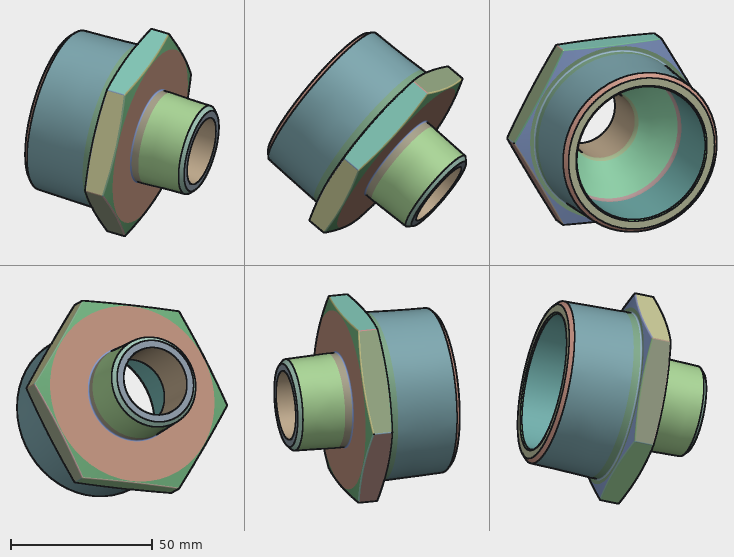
import cadquery as cq
import math


total_length = 56.0
collar_start = 26.5
collar_width = 9.5
collar_end = collar_start + collar_width

across_flats = 65.0
across_corners = across_flats / math.cos(math.radians(30))
collar_face_diameter = 63.8
collar_bevel_angle = math.radians(12)

large_diameter = 60.1
small_diameter = 33.6
straight_length = 3.1
radius_taper = 1 / 32
end_chamfer = 1.5

large_bore_diameter = 49.0
small_bore_diameter = 24.5
large_bore_depth = 24.2
cone_end = collar_end

edge_radius = 0.5
bore_blend_radius = 2.5


def threaded_end(diameter, length):
    """Spigot growing from x = 0 along +X: filleted root, straight length, taper, chamfered tip."""
    root_radius = diameter / 2
    taper_length = length - straight_length - end_chamfer
    tip_radius = root_radius - taper_length * radius_taper
    return (
        cq.Workplane("XY")
        .lineTo(0, root_radius + edge_radius)
        .radiusArc((edge_radius, root_radius), -edge_radius)
        .lineTo(straight_length, root_radius)
        .lineTo(length - end_chamfer, tip_radius)
        .lineTo(length, tip_radius - end_chamfer)
        .lineTo(length, 0)
        .close()
        .revolve(360, (0, 0, 0), (1, 0, 0))
    )


def hex_collar():
    """Hexagon with corners on the Y axis, bevelled on both faces and rounded on every edge."""
    hexagon = (
        cq.Workplane("YZ")
        .polygon(6, across_corners)
        .extrude(collar_width)
        .edges("|X")
        .fillet(edge_radius)
    )
    face_radius = collar_face_diameter / 2
    outer_radius = across_corners / 2
    bevel = (outer_radius - face_radius) * math.tan(collar_bevel_angle)
    envelope = (
        cq.Workplane("XY")
        .polyline([
            (0, 0),
            (0, face_radius),
            (bevel, outer_radius),
            (collar_width - bevel, outer_radius),
            (collar_width, face_radius),
            (collar_width, 0),
        ])
        .close()
        .revolve(360, (0, 0, 0), (1, 0, 0))
    )
    collar = hexagon.intersect(envelope)
    rounded = collar.faces("#X").edges("not |X").fillet(edge_radius)
    return rounded.translate((collar_start, 0, 0))


def stepped_bore():
    """Through bore with a chamfered mouth and a cone blended at both ends."""
    large_radius = large_bore_diameter / 2
    small_radius = small_bore_diameter / 2
    bore = (
        cq.Workplane("XY")
        .polyline([
            (0, 0),
            (0, large_radius + edge_radius),
            (edge_radius, large_radius),
            (large_bore_depth, large_radius),
            (cone_end, small_radius),
            (total_length, small_radius),
            (total_length, 0),
        ])
        .close()
        .revolve(360, (0, 0, 0), (1, 0, 0))
    )
    around_cone = cq.selectors.BoxSelector(
        (large_bore_depth - edge_radius, -large_radius, -large_radius),
        (cone_end + edge_radius, large_radius, large_radius),
    )
    return bore.edges("%CIRCLE").edges(around_cone).fillet(bore_blend_radius)


large_end = threaded_end(large_diameter, collar_start).rotate((0, 0, 0), (0, 0, 1), 180)
large_end = large_end.translate((collar_start, 0, 0))
small_end = threaded_end(small_diameter, total_length - collar_end).translate((collar_end, 0, 0))

result = hex_collar().union(large_end).union(small_end).cut(stepped_bore())